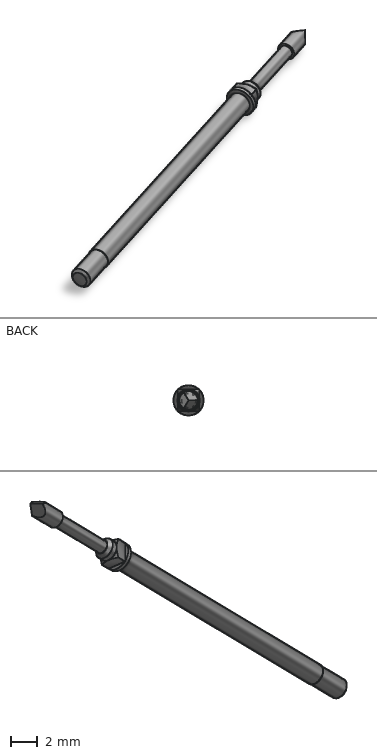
import cadquery as cq
import math

total_length = 35.8
tip_y = total_length / 2
tail_y = -total_length / 2

tail_diameter = 1.6
tail_length = 2.97
tail_chamfer = 0.2
barrel_diameter = 1.7

flange_diameter = 2.3
flange_thickness = 0.32
flange_front_y = tip_y - 10.0

square_size = 1.65
square_length = 0.95
corner_chamfer_angle = 30.0

collar_length = 0.75
collar_chamfer = 0.3

plunger_diameter = 1.05
head_diameter = 1.4
head_length = 2.97
point_face_angle = 30.0
point_face_count = 3

barrel_start_y = tail_y + tail_length
flange_back_y = flange_front_y - flange_thickness
square_front_y = flange_front_y + square_length
collar_front_y = square_front_y + collar_length
head_back_y = tip_y - head_length


def rod(diameter, start_y, end_y):
    """Solid cylinder on the Y axis from start_y to end_y."""
    return (
        cq.Workplane("XZ", origin=(0, start_y, 0))
        .circle(diameter / 2)
        .extrude(start_y - end_y)
    )


def square_section():
    """Square block whose front corners are cut by a cone starting at its inscribed circle."""
    block = cq.Workplane("XY").box(square_size, square_length, square_size)
    block = block.translate((0, flange_front_y + square_length / 2, 0))
    front_radius = square_size / 2
    back_radius = front_radius + square_length / math.tan(math.radians(corner_chamfer_angle))
    cone = cq.Solid.makeCone(
        back_radius, front_radius, square_length, cq.Vector(0, flange_front_y, 0), cq.Vector(0, 1, 0)
    )
    return block.intersect(cq.Workplane(obj=cone))


def point_pyramid():
    """Pyramid with its apex at the tip, one face toward +X, long enough to cover the whole head."""
    inscribed_radius = head_length * math.tan(math.radians(point_face_angle))
    corner_radius = inscribed_radius / math.cos(math.pi / point_face_count)
    corners = []
    for index in range(point_face_count):
        angle = math.pi * (2 * index + 1) / point_face_count
        corner_x = corner_radius * math.cos(angle)
        corner_z = corner_radius * math.sin(angle)
        corners.append(cq.Vector(corner_x, head_back_y, corner_z))
    apex = cq.Vector(0, tip_y, 0)
    faces = [cq.Face.makeFromWires(cq.Wire.makePolygon(corners, close=True))]
    for index, corner in enumerate(corners):
        side = cq.Wire.makePolygon([corners[index - 1], corner, apex], close=True)
        faces.append(cq.Face.makeFromWires(side))
    return cq.Workplane(obj=cq.Solid.makeSolid(cq.Shell.makeShell(faces)))


def pointed_head():
    """Plunger head cut to the pyramid point."""
    return rod(head_diameter, head_back_y, tip_y).intersect(point_pyramid())


tail = rod(tail_diameter, tail_y, barrel_start_y).faces("<Y").chamfer(tail_chamfer)
barrel = rod(barrel_diameter, barrel_start_y, flange_back_y)
flange = rod(flange_diameter, flange_back_y, flange_front_y)
collar = rod(barrel_diameter, square_front_y, collar_front_y).faces(">Y").chamfer(collar_chamfer)
plunger = rod(plunger_diameter, collar_front_y, head_back_y)

result = tail
for section in (barrel, flange, square_section(), collar, plunger, pointed_head()):
    result = result.union(section)